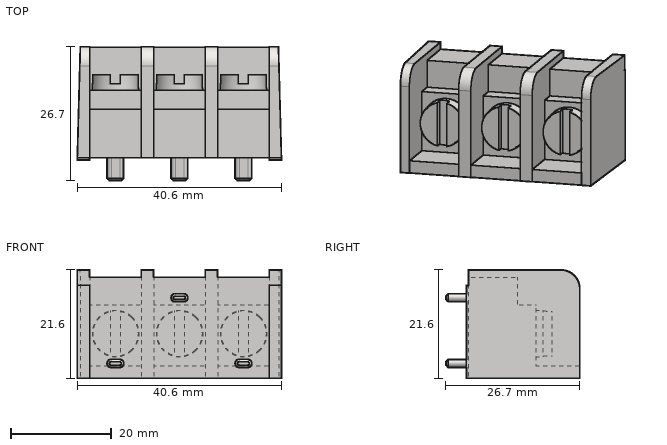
import cadquery as cq


pole_count = 3
pole_pitch = 12.7
front_width = 40.65
back_width = 39.42
height = 21.6
depth = 22.15
barrier_thickness = 2.5
barrier_corner_radius = 3.8

pad_depth = 0.4
pad_drop = 3.1
pad_height = height - pad_drop

upper_floor_drop = 1.45
upper_floor_height = height - upper_floor_drop
upper_floor_depth = 9.67
ledge_height = 14.65
ledge_depth = 13.4
base_height = 2.5
base_setback = 0.12
base_depth = depth - base_setback

screw_base_radius = 4.65
screw_tip_radius = 4.5
screw_head_length = 3.1
screw_height = 8.95
slot_width = 1.95
slot_depth = 1.75

pin_width = 3.35
pin_thickness = 1.63
pin_reach_past_pads = 4.1
pin_reach = pin_reach_past_pads + pad_depth
pin_chamfer = 0.5
lower_pin_height = 2.95
upper_pin_height = 16.0

row_centre = (pole_count - 1) / 2
pole_positions = [(i - row_centre) * pole_pitch for i in range(pole_count)]
divider_positions = [x + pole_pitch / 2 for x in pole_positions[:-1]]
end_inner_x = pole_count * pole_pitch / 2 - barrier_thickness / 2


def floor_body():
    """Stepped core that spans all poles between the end barriers."""
    outline = [
        (0, 0),
        (base_depth, 0),
        (base_depth, base_height),
        (ledge_depth, base_height),
        (ledge_depth, ledge_height),
        (upper_floor_depth, ledge_height),
        (upper_floor_depth, upper_floor_height),
        (0, upper_floor_height),
    ]
    return cq.Workplane("YZ").polyline(outline).close().extrude(end_inner_x, both=True)


def round_back_corner(barrier):
    """Round the upper corner of a barrier at the wire entry."""
    return barrier.faces(">Z").edges(">Y").fillet(barrier_corner_radius)


def divider(x):
    """Straight barrier between two poles."""
    barrier = cq.Workplane("XY").box(
        barrier_thickness, depth, height, centered=(True, False, False)
    )
    return round_back_corner(barrier).translate((x, 0, 0))


def end_barrier():
    """Right-hand end barrier: tapered outside, with a pad below its front top edge."""
    plan = [
        (end_inner_x, -pad_depth),
        (front_width / 2, -pad_depth),
        (back_width / 2, depth),
        (end_inner_x, depth),
    ]
    barrier = round_back_corner(cq.Workplane("XY").polyline(plan).close().extrude(height))
    relief = (
        cq.Workplane("XY")
        .box(front_width, pad_depth, pad_drop, centered=(True, False, False))
        .translate((0, -pad_depth, pad_height))
    )
    return barrier.cut(relief)


def screw_head(x):
    """Slightly conical slotted head standing on the face of the ledge."""
    profile = [
        (0, 0),
        (0, screw_base_radius),
        (screw_head_length, screw_tip_radius),
        (screw_head_length, 0),
    ]
    head = cq.Workplane("YZ").polyline(profile).close().revolve(360, (0, 0), (1, 0))
    slot = (
        cq.Workplane("XY")
        .box(slot_width, slot_depth, 2 * screw_base_radius, centered=(True, False, True))
        .translate((0, screw_head_length - slot_depth, 0))
    )
    return head.cut(slot).translate((x, ledge_depth, screw_height))


def pin(x, z):
    """Flat pin with rounded sides and a chamfered tip."""
    return (
        cq.Workplane("XZ")
        .slot2D(pin_width, pin_thickness)
        .extrude(pin_reach)
        .faces("<Y")
        .chamfer(pin_chamfer)
        .translate((x, 0, z))
    )


right_end = end_barrier()
result = floor_body().union(right_end).union(right_end.mirror("YZ"))

for x in divider_positions:
    result = result.union(divider(x))

for x in pole_positions:
    result = result.union(screw_head(x))

for index, x in enumerate(pole_positions):
    pin_height = lower_pin_height if index % 2 == 0 else upper_pin_height
    result = result.union(pin(x, pin_height))